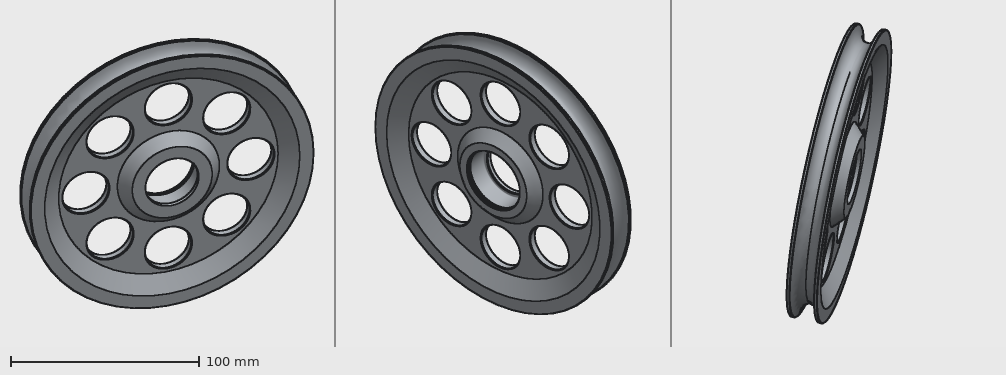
import cadquery as cq

outer_radius = 80.0
width = 17.0
lip_edge_break = 0.3

groove_depth = 9.0
groove_mouth_width = 13.1

recess_rim_radius = 72.0
recess_outer_radius = 62.0
hub_base_radius = 28.8
hub_face_radius = 22.5
recess_depth = 6.0

through_diameter = 30.0
bearing_diameter = 35.0
ring_groove_diameter = 37.0
bearing_depth = 14.0
ring_groove_offset = 1.3
ring_groove_width = 1.5
bore_chamfer = 0.5
shoulder_fillet = 0.5

hole_count = 8
hole_diameter = 26.0
hole_circle_radius = 46.5
hole_chamfer = 0.5

half_width = width / 2
web_half_width = half_width - recess_depth


def revolve_about_x(profile):
    """Turn a profile drawn as (x, radius) about the X axis."""
    return profile.close().revolve(360, (0, 0, 0), (1, 0, 0))


def disc(x_start, length, diameter):
    """Cylinder along X, starting at x_start."""
    return cq.Workplane("YZ", origin=(x_start, 0, 0)).circle(diameter / 2).extrude(length)


def cone(x_start, length, start_diameter, end_diameter):
    """Truncated cone along X."""
    return revolve_about_x(
        cq.Workplane("XY")
        .moveTo(x_start, 0)
        .lineTo(x_start, start_diameter / 2)
        .lineTo(x_start + length, end_diameter / 2)
        .lineTo(x_start + length, 0)
    )


def make_rope_groove():
    """Ring with a half-elliptical section, in two quarters that meet at the groove bottom."""
    half_mouth = groove_mouth_width / 2
    return revolve_about_x(
        cq.Workplane("XY")
        .moveTo(-half_mouth, outer_radius)
        .ellipseArc(half_mouth, groove_depth, 180, 270, startAtCurrent=True)
        .ellipseArc(half_mouth, groove_depth, 270, 360, startAtCurrent=True)
    )


def make_grooved_disc():
    """Disc with the rope groove; all edges of its two rim lips are broken."""
    grooved = disc(-half_width, width, 2 * outer_radius).cut(make_rope_groove())
    return grooved.faces("%CYLINDER").edges("%CIRCLE").chamfer(lip_edge_break)


def make_recess():
    """Annular recess with sloping walls in the -X face."""
    return revolve_about_x(
        cq.Workplane("XY")
        .moveTo(-half_width, hub_face_radius)
        .lineTo(-web_half_width, hub_base_radius)
        .lineTo(-web_half_width, recess_outer_radius)
        .lineTo(-half_width, recess_rim_radius)
    )


def make_bore():
    bearing_end = bearing_depth - half_width
    chamfer_growth = 2 * bore_chamfer
    bore = disc(-half_width, width, through_diameter)
    bearing_seat = disc(-half_width, bearing_depth, bearing_diameter).edges(">X").fillet(shoulder_fillet)
    bore = bore.union(bearing_seat)
    bore = bore.union(disc(ring_groove_offset - half_width, ring_groove_width, ring_groove_diameter))
    bore = bore.union(
        cone(-half_width, bore_chamfer, bearing_diameter + chamfer_growth, bearing_diameter)
    )
    bore = bore.union(
        cone(bearing_end, bore_chamfer, through_diameter + chamfer_growth, through_diameter)
    )
    return bore


def make_lightening_hole():
    rim_diameter = hole_diameter + 2 * hole_chamfer
    hole = disc(-web_half_width, 2 * web_half_width, hole_diameter)
    entry = cone(-web_half_width, hole_chamfer, rim_diameter, hole_diameter)
    hole = hole.union(entry).union(entry.mirror("YZ"))
    return hole.translate((0, hole_circle_radius, 0))


recess = make_recess()
result = make_grooved_disc().cut(recess).cut(recess.mirror("YZ")).cut(make_bore())

hole = make_lightening_hole()
for index in range(hole_count):
    result = result.cut(hole.rotate((0, 0, 0), (1, 0, 0), index * 360 / hole_count))